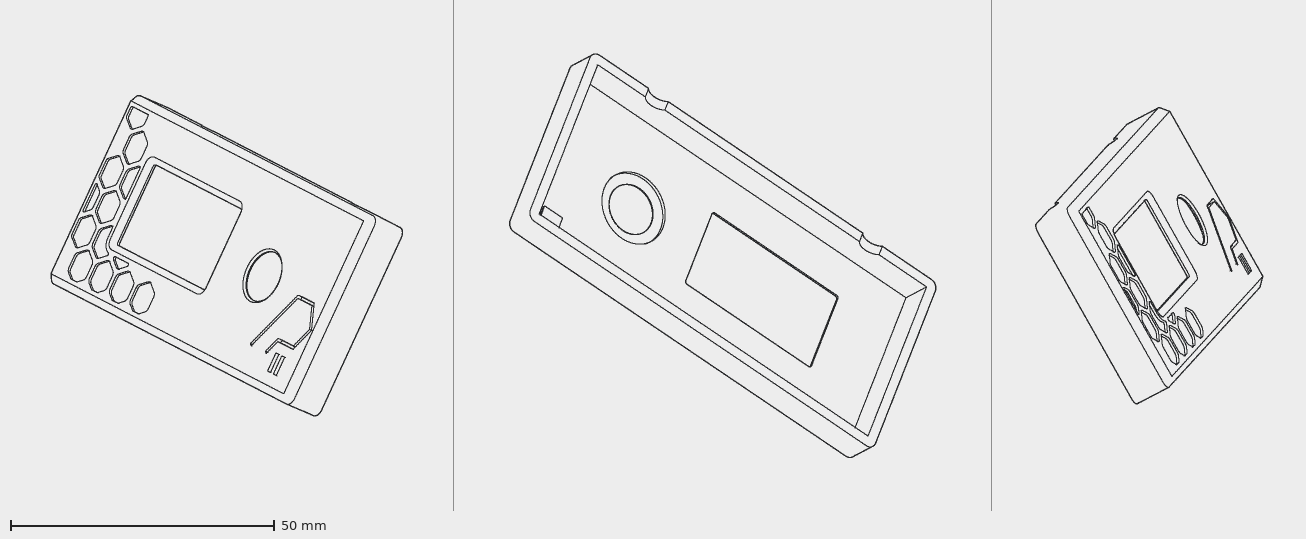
import cadquery as cq
import math

LEAN_ANGLE = 60.0

LENGTH = 84.4
HEIGHT = 39.4
DEPTH = 8.7
WALL = 2.0
FACE_THICKNESS = 1.5
FRONT_CHAMFER = 1.6
CORNER_RADIUS = 1.7

WINDOW_LENGTH = 30.7
WINDOW_HEIGHT = 16.9
WINDOW_X = -11.7
WINDOW_Y = 0.9
WINDOW_CORNER = 0.5
WINDOW_CHAMFER = 1.3
WINDOW_CHAMFER_DEPTH = 1.0

KNOB_X = 19.25
KNOB_DIAMETER = 10.0
KNOB_CHAMFER = 0.4
KNOB_LIP = 0.7
KNOB_RELIEF_DIAMETER = 14.35

SCALLOP_RADIUS = 2.8
SCALLOP_DEPTH = 1.35
SCALLOP_X = 26.2

HEX_FLATS = 6.2
HEX_PITCH = 7.2
HEX_DEPTH = 0.5
HEX_CORNER = 1.0
HEX_CUT_CORNER = 0.3
HEX_MARGIN = 0.85
HEX_X = -36.8
HEX_Y = -1.85
HEX_ROW_STEP = HEX_PITCH * math.sin(math.radians(60))
HEX_CELLS = [
    (0, 3),
    (0.5, 2),
    (0, 1), (1, 1),
    (-0.5, 0), (0.5, 0),
    (0, -1), (1, -1), (2, -1),
    (0.5, -2), (1.5, -2), (2.5, -2), (3.5, -2),
]

FRAME_X = 34.6
FRAME_Y = -5.0
FRAME_RADIUS = 5.2
FRAME_WIDTH = 0.6
FRAME_DEPTH = 1.2
FRAME_TAIL_Y = -12.7

BAR_WIDTH = 1.0
BAR_HEIGHT = 3.8
BAR_PITCH = 2.0
BAR_Y = -13.75
GUIDE_PLATE_MARGIN = 0.7
GUIDE_PLATE_THICKNESS = 0.5


def block(length, height, top, bottom, x=0.0, y=0.0):
    """Upright box between two Z levels, centred at (x, y)."""
    return cq.Workplane("XY", origin=(x, y, bottom)).rect(length, height).extrude(top - bottom)


def make_shell():
    outside = (
        block(LENGTH, HEIGHT, 0, -DEPTH)
        .edges("|Z").fillet(CORNER_RADIUS)
        .faces(">Z").chamfer(FRONT_CHAMFER)
    )
    cavity = block(LENGTH - 2 * WALL, HEIGHT - 2 * WALL, -FACE_THICKNESS, -DEPTH)
    return outside.cut(cavity)


def make_window_cutter():
    opening = (
        block(WINDOW_LENGTH, WINDOW_HEIGHT, 0, -FACE_THICKNESS, WINDOW_X, WINDOW_Y)
        .edges("|Z").fillet(WINDOW_CORNER)
    )
    rim = (
        cq.Sketch()
        .rect(WINDOW_LENGTH + 2 * WINDOW_CHAMFER, WINDOW_HEIGHT + 2 * WINDOW_CHAMFER)
        .vertices().fillet(WINDOW_CORNER + WINDOW_CHAMFER)
    )
    flare_angle = math.degrees(math.atan(WINDOW_CHAMFER / WINDOW_CHAMFER_DEPTH))
    flare = (
        cq.Workplane("XY", origin=(WINDOW_X, WINDOW_Y, 0))
        .placeSketch(rim)
        .extrude(-WINDOW_CHAMFER_DEPTH, taper=flare_angle)
    )
    return opening.union(flare)


def make_knob_cutter():
    radius = KNOB_DIAMETER / 2
    relief_radius = KNOB_RELIEF_DIAMETER / 2
    profile = [
        (0, 0),
        (radius + KNOB_CHAMFER, 0),
        (radius, -KNOB_CHAMFER),
        (radius, -KNOB_LIP),
        (relief_radius, -KNOB_LIP),
        (relief_radius, -FACE_THICKNESS),
        (0, -FACE_THICKNESS),
    ]
    knob = cq.Workplane("XZ").polyline(profile).close().revolve(360, (0, 0, 0), (0, 1, 0))
    return knob.translate((KNOB_X, 0, 0))


def make_scallop_cutters():
    axis_z = -DEPTH + SCALLOP_DEPTH - SCALLOP_RADIUS
    return (
        cq.Workplane("XZ", origin=(0, HEIGHT / 2, axis_z))
        .pushPoints([(-SCALLOP_X, 0), (SCALLOP_X, 0)])
        .circle(SCALLOP_RADIUS)
        .extrude(WALL)
    )


def round_outline(cutter):
    """Round the outer corners by shrinking the outline and growing it back with arcs."""
    outline = cutter.faces(">Z").wires().val()
    shrunk = outline.offset2D(-HEX_CUT_CORNER)[0]
    rounded = shrunk.offset2D(HEX_CUT_CORNER)[0]
    return cq.Workplane("XY").add(rounded).toPending().extrude(-HEX_DEPTH)


def make_honeycomb_cutters():
    border = 2 * (FRONT_CHAMFER + HEX_MARGIN)
    keep_out = 2 * (WINDOW_CHAMFER + HEX_MARGIN)
    allowed = block(LENGTH - border, HEIGHT - border, 0, -HEX_DEPTH).cut(
        block(WINDOW_LENGTH + keep_out, WINDOW_HEIGHT + keep_out, 0, -HEX_DEPTH, WINDOW_X, WINDOW_Y)
        .edges("|Z").fillet(WINDOW_CORNER + WINDOW_CHAMFER + HEX_MARGIN)
    )
    across_corners = HEX_FLATS / math.cos(math.radians(30))
    cutters = []
    for column, row in HEX_CELLS:
        cell = (
            cq.Workplane("XY")
            .polygon(6, across_corners)
            .extrude(-HEX_DEPTH)
            .edges("|Z").fillet(HEX_CORNER)
            .rotate((0, 0, 0), (0, 0, 1), 30)
            .translate((HEX_X + column * HEX_PITCH, HEX_Y + row * HEX_ROW_STEP, 0))
        )
        cutters.append(round_outline(cell.intersect(allowed)))
    return cutters


def make_frame_cutter():
    """Groove along four sides of a hexagon, with two parallel tails running down to the left."""
    def corner(angle):
        turn = math.radians(angle)
        return (FRAME_X + FRAME_RADIUS * math.cos(turn), FRAME_Y + FRAME_RADIUS * math.sin(turn))

    def tail_end(start):
        return (start[0] - (start[1] - FRAME_TAIL_Y) / math.tan(math.radians(60)), FRAME_TAIL_Y)

    sides = [corner(angle) for angle in (120, 60, 0, -60, -120)]
    path = [tail_end(sides[0]), *sides, tail_end(sides[-1])]
    groove = None
    for start, end in zip(path, path[1:]):
        run = math.dist(start, end)
        heading = math.degrees(math.atan2(end[1] - start[1], end[0] - start[0]))
        stroke = (
            block(run, FRAME_WIDTH, 0, -FRAME_DEPTH, run / 2)
            .rotate((0, 0, 0), (0, 0, 1), heading)
            .translate((*start, 0))
        )
        groove = stroke if groove is None else groove.union(stroke)
    joints = cq.Workplane("XY").pushPoints(sides).circle(FRAME_WIDTH / 2).extrude(-FRAME_DEPTH)
    return groove.union(joints)


def make_bars():
    bars = [
        block(BAR_WIDTH, BAR_HEIGHT, 0, -FACE_THICKNESS, FRAME_X + side * BAR_PITCH / 2, BAR_Y)
        for side in (-1, 1)
    ]
    return bars[0].union(bars[1])


def make_housing():
    housing = make_shell()
    housing = housing.cut(make_window_cutter())
    housing = housing.cut(make_knob_cutter())
    housing = housing.cut(make_scallop_cutters())
    for cutter in make_honeycomb_cutters():
        housing = housing.cut(cutter)
    housing = housing.cut(make_frame_cutter())
    return housing.cut(make_bars())


def make_light_guide():
    plate = block(
        BAR_PITCH + BAR_WIDTH + 2 * GUIDE_PLATE_MARGIN,
        BAR_HEIGHT + 2 * GUIDE_PLATE_MARGIN,
        -FACE_THICKNESS,
        -FACE_THICKNESS - GUIDE_PLATE_THICKNESS,
        FRAME_X,
        BAR_Y,
    )
    return make_bars().union(plate)


def lean_back(body):
    return body.rotate((0, 0, 0), (1, 0, 0), LEAN_ANGLE)


housing = lean_back(make_housing())
light_guide = lean_back(make_light_guide())

result = cq.Compound.makeCompound([housing.val(), light_guide.val()])